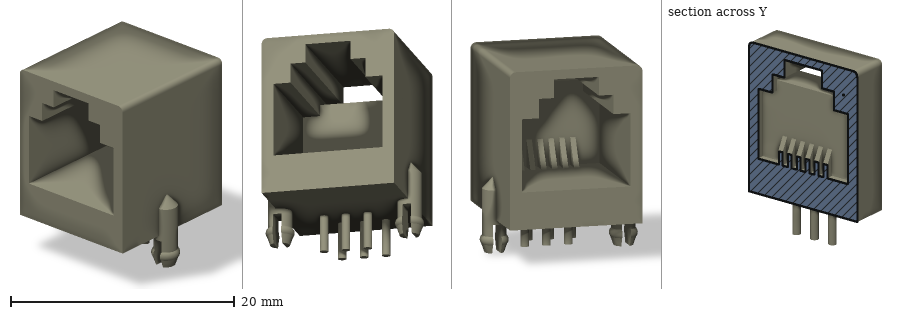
import cadquery as cq
import math


overall_width = 14.58
overall_height = 17.78

body_width = 12.27
body_depth = 13.5
body_height = 14.47
top_fillet = 0.5
front_y = -6.0
back_y = front_y + body_depth

floor_z = 3.43
opening_steps = [(10.06, 10.13), (6.92, 11.91), (4.18, 13.62)]

wall_thickness = 3.0
wall_top_z = 11.17
wall_front_y = back_y - wall_thickness

pin_count = 6
pin_pitch = 1.01
pin_diameter = 0.76
pin_length = overall_height - body_height
first_row_y = 2.33
row_spacing = 2.55
contact_width = 0.5
contact_height = 2.52
contact_lean = 28.0

peg_x = 6.0
shaft_diameter = 2.19
shaft_radius = shaft_diameter / 2
bulge_radius = overall_width / 2 - peg_x
shoulder_z = 2.67
cone_height = 1.2
bulge_top_z = -1.58
bulge_middle_z = -2.0
bulge_bottom_z = -2.35
bulge_bottom_radius = 1.17
tip_z = -3.15
tip_radius = 0.89
slot_width = 0.8
slot_top_z = -0.5

overlap = 0.18


def box(width, y_start, y_end, z_start, z_end):
    """Box centred on X = 0, given by its Y and Z limits."""
    return (
        cq.Workplane("XY")
        .box(width, y_end - y_start, z_end - z_start, centered=(True, False, False))
        .translate((0, y_start, z_start))
    )


def make_housing():
    housing = box(body_width, front_y, back_y, 0, body_height)
    housing = housing.edges("|Y and >Z").fillet(top_fillet)
    for width, top_z in opening_steps:
        housing = housing.cut(box(width, front_y, back_y, floor_z, top_z))
    lowest_step_width = opening_steps[0][0]
    wall_width = lowest_step_width + 2 * overlap
    return housing.union(box(wall_width, wall_front_y, back_y, floor_z - overlap, wall_top_z))


def make_contact(x):
    """Sloped rib rising from the opening floor to the back wall."""
    run = contact_height * math.tan(math.radians(contact_lean))
    return (
        cq.Workplane("YZ", origin=(x - contact_width / 2, 0, 0))
        .moveTo(wall_front_y - run, floor_z)
        .lineTo(wall_front_y, floor_z + contact_height)
        .lineTo(wall_front_y + overlap, floor_z + contact_height)
        .lineTo(wall_front_y + overlap, floor_z - overlap)
        .lineTo(wall_front_y - run, floor_z - overlap)
        .close()
        .extrude(contact_width)
    )


def make_pin(x, y):
    return (
        cq.Workplane("XY", origin=(x, y, -pin_length))
        .circle(pin_diameter / 2)
        .extrude(pin_length + overlap)
    )


def make_peg(x):
    """Turned peg with a conical top and a snap bulge, split along Y by a slot."""
    peg = (
        cq.Workplane("XZ")
        .moveTo(0, tip_z)
        .lineTo(tip_radius, tip_z)
        .lineTo(bulge_bottom_radius, bulge_bottom_z)
        .threePointArc((bulge_radius, bulge_middle_z), (shaft_radius, bulge_top_z))
        .lineTo(shaft_radius, shoulder_z)
        .lineTo(0, shoulder_z + cone_height)
        .close()
        .revolve(360, (0, 0, 0), (0, 1, 0))
    )
    slot = box(slot_width, -bulge_radius - overlap, bulge_radius + overlap, tip_z, slot_top_z)
    return peg.cut(slot).translate((x, 0, 0))


result = make_housing()

for index in range(pin_count):
    x = (index - (pin_count - 1) / 2) * pin_pitch
    y = first_row_y + (index % 2) * row_spacing
    result = result.union(make_contact(x)).union(make_pin(x, y))

for side in (-1, 1):
    result = result.union(make_peg(side * peg_x))